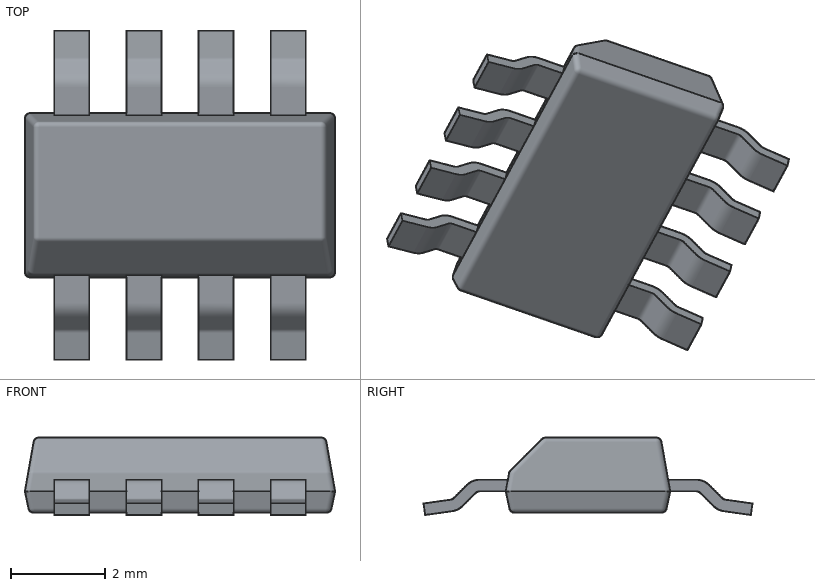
import cadquery as cq
import math

housing_length = 6.6
housing_width = 3.5
top_height = 1.15
bottom_depth = 0.455
top_taper = 10.0
bottom_taper = 12.0
edge_radius = 0.12
bevel_top_y = -0.945

lead_span = 7.0
lead_width = 0.75
lead_thickness = 0.25
lead_pitch = 1.53
leads_per_side = 4
lead_bottom_z = -0.505
bend_radius = 0.13
slope_angle = 45.0
foot_angle = 8.0
foot_length = 0.58


def housing_half(height, taper):
    """Tapered block growing from the parting plane; a negative height grows down."""
    return (
        cq.Workplane("XY")
        .rect(housing_length, housing_width)
        .extrude(height, taper=taper)
    )


def bevel_cutter():
    """45 degree wedge that removes the long top edge on the -Y side."""
    wedge_size = housing_width / 2 + bevel_top_y
    return (
        cq.Workplane("YZ")
        .moveTo(bevel_top_y, top_height)
        .line(-wedge_size, 0)
        .line(0, -wedge_size)
        .close()
        .extrude(housing_length / 2, both=True)
    )


def make_housing():
    """Both halves joined, with every edge rounded except the parting line."""
    upper = housing_half(top_height, top_taper).cut(bevel_cutter())
    lower = housing_half(-bottom_depth, bottom_taper)
    parting_slab = cq.selectors.BoxSelector(
        (-housing_length, -housing_width, -edge_radius),
        (housing_length, housing_width, edge_radius),
    )
    rounded_edges = cq.selectors.InverseSelector(parting_slab)
    return upper.union(lower).edges(rounded_edges).fillet(edge_radius)


def on_bend(center, radius, angle):
    """Point of a bend circle; the angle in degrees is measured from +Z toward +Y."""
    turn = math.radians(angle)
    return (center[0] + radius * math.sin(turn), center[1] + radius * math.cos(turn))


def lead_profile():
    """Side outline, in Y and Z, of a lead on the +Y side."""
    outer_radius = bend_radius + lead_thickness
    slope = math.radians(slope_angle)
    foot = math.radians(foot_angle)
    mid_angle = (slope_angle + foot_angle) / 2

    tip_top = (lead_span / 2, lead_bottom_z + lead_thickness * math.cos(foot))
    tip_bottom = on_bend(tip_top, -lead_thickness, foot_angle)
    foot_start = (
        tip_top[0] - foot_length * math.cos(foot),
        tip_top[1] + foot_length * math.sin(foot),
    )
    toe_center = on_bend(foot_start, bend_radius, foot_angle)

    center_offset = bend_radius + outer_radius
    slope_drop = -bend_radius + center_offset * math.cos(slope) - toe_center[1]
    slope_run = slope_drop / math.tan(slope)
    shoulder_y = toe_center[0] - center_offset * math.sin(slope) - slope_run
    shoulder_center = (shoulder_y, -bend_radius)

    root_y = housing_width / 2
    root_setback = lead_thickness * math.tan(math.radians(top_taper))

    return (
        cq.Workplane("YZ")
        .moveTo(root_y, 0)
        .lineTo(root_y - root_setback, lead_thickness)
        .lineTo(shoulder_y, lead_thickness)
        .threePointArc(
            on_bend(shoulder_center, outer_radius, slope_angle / 2),
            on_bend(shoulder_center, outer_radius, slope_angle),
        )
        .lineTo(*on_bend(toe_center, -bend_radius, slope_angle))
        .threePointArc(on_bend(toe_center, -bend_radius, mid_angle), foot_start)
        .lineTo(*tip_top)
        .lineTo(*tip_bottom)
        .lineTo(*on_bend(toe_center, -outer_radius, foot_angle))
        .threePointArc(
            on_bend(toe_center, -outer_radius, mid_angle),
            on_bend(toe_center, -outer_radius, slope_angle),
        )
        .lineTo(*on_bend(shoulder_center, bend_radius, slope_angle))
        .threePointArc(
            on_bend(shoulder_center, bend_radius, slope_angle / 2),
            (shoulder_y, 0),
        )
        .close()
    )


def make_lead(x, side):
    """One lead centred at x; side is +1 for the +Y row and -1 for the -Y row."""
    lead = lead_profile().extrude(lead_width / 2, both=True)
    if side < 0:
        lead = lead.mirror("XZ")
    return lead.translate((x, 0, 0))


housing = make_housing()

leads = []
for side in (1, -1):
    for index in range(leads_per_side):
        lead_x = (index - (leads_per_side - 1) / 2) * lead_pitch
        leads.append(make_lead(lead_x, side))

result = cq.Compound.makeCompound([housing.val(), *[lead.val() for lead in leads]])